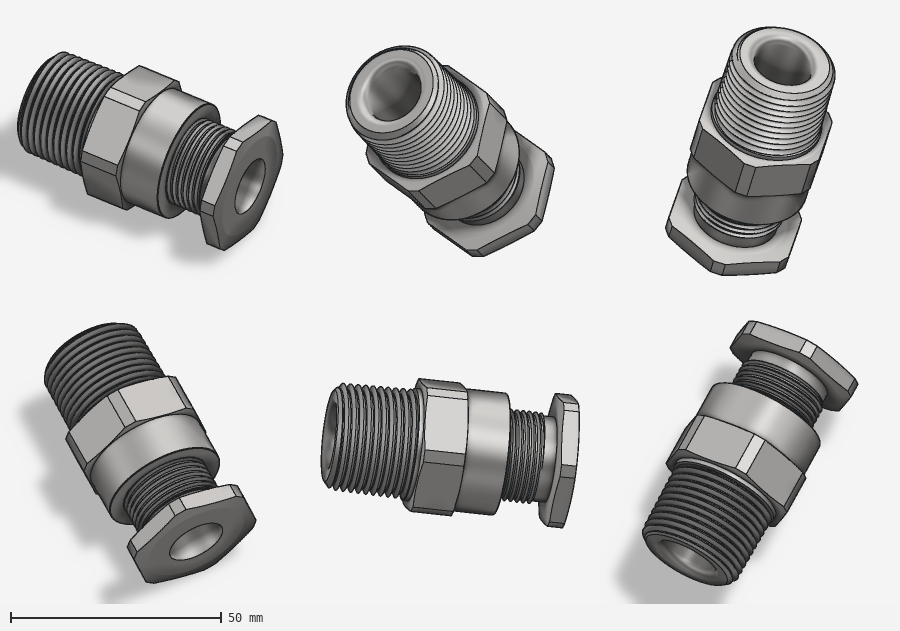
import cadquery as cq
import math

TOTAL_LENGTH = 57.9
BORE_DIAMETER = 14.05

ACROSS_FLATS = 30.0
ACROSS_CORNERS = 33.05
CORNER_RADIUS = ACROSS_CORNERS / 2
HEX_TURN = 16.5

ENTRY_LENGTH = 19.15
ENTRY_FACE_RADIUS = 10.95
ENTRY_ROOT_RADIUS = 11.45
ENTRY_CREST_RADIUS = 12.75
ENTRY_TAPER = 0.02
ENTRY_PITCH = 18.1 / 10
ENTRY_RIDGE_WIDTH = 1.5
ENTRY_FIRST_CREST = 1.3
ENTRY_LEAD_TURNS = 1
LEAD_CHAMFER_SLOPE = 1.15
MOUTH_RADIUS = 2.1
COLLAR_DIAMETER = 26.85
BODY_HEX_START = 20.25
BODY_HEX_END = 30.75
BODY_HEX_FACE_RADIUS = 14.9
BODY_HEX_BEVEL = 0.35
BARREL_DIAMETER = 29.25
BARREL_END = 41.05
BARREL_CHAMFER = 0.2

HEAD_START = 53.1
HEAD_FACE_RADIUS = 12.75
HEAD_BEVEL = 0.6
SHANK_DIAMETER = 20.45
NUT_CREST_DIAMETER = 21.9
NUT_PITCH = 15.0 / 10
NUT_RIDGE_WIDTH = 1.05
NUT_THREAD_END = 50.1
NUT_FIRST_CREST = 42.15
ENGAGED_PITCHES = 4
NUT_LEAD_TURNS = 2

ROOT_SINK = 0.1
TRIM_CLEARANCE = 0.6

socket_floor = BARREL_END - ENGAGED_PITCHES * NUT_PITCH


def revolve_profile(points):
    """Turn an outline of (x, radius) points about the X axis."""
    return cq.Workplane("XY").polyline(points).close().revolve(360, (0, 0, 0), (1, 0, 0))


def cylinder(start, end, diameter):
    return cq.Workplane("YZ", origin=(start, 0, 0)).circle(diameter / 2).extrude(end - start)


def ridge_turn(first_crest, pitch, root_radius, crest_radius, width, taper):
    """One right-handed turn of a V ridge, its crest starting on the +Y side at X = first_crest."""
    sunk_half_width = width / 2 * (1 + ROOT_SINK / (crest_radius - root_radius))

    def helix(offset, radius):
        if taper:
            wire = cq.Wire.makeHelix(pitch, pitch, radius, angle=math.degrees(math.atan(taper)))
        else:
            wire = cq.Wire.makeHelix(pitch, pitch, radius)
        return wire.rotate(cq.Vector(0, 0, 0), cq.Vector(0, 1, 0), 90).rotate(
            cq.Vector(0, 0, 0), cq.Vector(1, 0, 0), 90
        ).translate(cq.Vector(first_crest + offset, 0, 0))

    left = helix(-sunk_half_width, root_radius - ROOT_SINK)
    crest = helix(0, crest_radius)
    right = helix(sunk_half_width, root_radius - ROOT_SINK)
    sides = [
        cq.Face.makeRuledSurface(left, crest),
        cq.Face.makeRuledSurface(crest, right),
        cq.Face.makeRuledSurface(right, left),
    ]
    ends = [
        cq.Face.makeFromWires(
            cq.Wire.makePolygon([edge.positionAt(place) for edge in (left, crest, right)], close=True)
        )
        for place in (0, 1)
    ]
    shell = cq.Shell.makeShell([face for side in sides for face in side.Faces()] + ends)
    return cq.Solid.makeSolid(shell)


def add_thread(core, first_crest, turns, pitch, root_radius, crest_radius, width, taper=0):
    """Wind a V ridge around a core, turn by turn; a taper widens each turn in step with the helix."""
    ridges = []
    for turn in range(turns):
        advance = turn * pitch
        growth = taper * advance
        ridges.append(
            ridge_turn(
                first_crest + advance, pitch, root_radius + growth, crest_radius + growth, width, taper
            )
        )
    return cq.Workplane(core.val().fuse(*ridges))


def beveled_hex(start, end, face_radius, bevel):
    """Hexagon with flattened corners, both of its faces beveled by a cone."""
    half_corner = 30 - math.degrees(math.acos(ACROSS_FLATS / 2 / CORNER_RADIUS))
    corners = []
    for corner in range(6):
        for side in (-half_corner, half_corner):
            angle = math.radians(HEX_TURN + 60 * corner + side)
            corners.append((-CORNER_RADIUS * math.cos(angle), CORNER_RADIUS * math.sin(angle)))
    prism = cq.Workplane("YZ", origin=(start, 0, 0)).polyline(corners).close().extrude(end - start)
    bevels = revolve_profile([
        (start, 0),
        (start, face_radius),
        (start + bevel, CORNER_RADIUS),
        (end - bevel, CORNER_RADIUS),
        (end, face_radius),
        (end, 0),
    ])
    return prism.intersect(bevels)


def entry_thread():
    """Tapered entry thread, bounded by its lead chamfer and the collar."""
    first_crest = ENTRY_FIRST_CREST - ENTRY_LEAD_TURNS * ENTRY_PITCH
    growth = ENTRY_TAPER * first_crest
    turns = math.ceil((ENTRY_LENGTH - first_crest) / ENTRY_PITCH) + 1
    outer_radius = COLLAR_DIAMETER / 2
    chamfer_length = (outer_radius - ENTRY_FACE_RADIUS) / LEAD_CHAMFER_SLOPE
    limits = revolve_profile([
        (0, 0),
        (0, ENTRY_FACE_RADIUS),
        (chamfer_length, outer_radius),
        (ENTRY_LENGTH, outer_radius),
        (ENTRY_LENGTH, 0),
    ])
    core = revolve_profile([
        (0, 0),
        (0, ENTRY_ROOT_RADIUS),
        (ENTRY_LENGTH, ENTRY_ROOT_RADIUS + ENTRY_TAPER * ENTRY_LENGTH),
        (ENTRY_LENGTH, 0),
    ])
    threaded_core = add_thread(
        core, first_crest, turns, ENTRY_PITCH, ENTRY_ROOT_RADIUS + growth, ENTRY_CREST_RADIUS + growth,
        ENTRY_RIDGE_WIDTH, ENTRY_TAPER,
    )
    return threaded_core.intersect(limits)


def make_housing():
    """Threaded entry, collar, hexagon and barrel, bored through and socketed for the gland nut."""
    barrel = cylinder(BODY_HEX_END, BARREL_END, BARREL_DIAMETER).faces(">X").edges().chamfer(BARREL_CHAMFER)
    housing = (
        entry_thread()
        .union(cylinder(ENTRY_LENGTH, BODY_HEX_START, COLLAR_DIAMETER))
        .union(beveled_hex(BODY_HEX_START, BODY_HEX_END, BODY_HEX_FACE_RADIUS, BODY_HEX_BEVEL))
        .union(barrel)
    )
    bore_radius = BORE_DIAMETER / 2
    mouth_center = (MOUTH_RADIUS, bore_radius + MOUTH_RADIUS)
    arc_middle = (
        mouth_center[0] - MOUTH_RADIUS * math.sqrt(0.5),
        mouth_center[1] - MOUTH_RADIUS * math.sqrt(0.5),
    )
    rounded_bore = (
        cq.Workplane("XY")
        .lineTo(0, mouth_center[1])
        .threePointArc(arc_middle, (MOUTH_RADIUS, bore_radius))
        .lineTo(socket_floor, bore_radius)
        .lineTo(socket_floor, 0)
        .close()
        .revolve(360, (0, 0, 0), (1, 0, 0))
    )
    socket = cylinder(socket_floor, BARREL_END, NUT_CREST_DIAMETER)
    return housing.cut(rounded_bore).cut(socket)


def make_gland_nut():
    """Hex-headed hollow nut whose threaded shank fills the housing socket out to its crests."""
    first_crest = NUT_FIRST_CREST - (ENGAGED_PITCHES + NUT_LEAD_TURNS) * NUT_PITCH
    turns = math.ceil((NUT_THREAD_END - first_crest) / NUT_PITCH) + 1
    core = cylinder(socket_floor, NUT_THREAD_END, SHANK_DIAMETER)
    threaded_core = add_thread(
        core, first_crest, turns, NUT_PITCH, SHANK_DIAMETER / 2, NUT_CREST_DIAMETER / 2, NUT_RIDGE_WIDTH
    )
    thread_limits = cylinder(socket_floor, NUT_THREAD_END, NUT_CREST_DIAMETER + TRIM_CLEARANCE)
    neck = cylinder(NUT_THREAD_END, HEAD_START, SHANK_DIAMETER)
    head = beveled_hex(HEAD_START, TOTAL_LENGTH, HEAD_FACE_RADIUS, HEAD_BEVEL)
    bore = cylinder(socket_floor, TOTAL_LENGTH, BORE_DIAMETER)
    return threaded_core.intersect(thread_limits).union(neck).union(head).cut(bore)


housing = make_housing()
gland_nut = make_gland_nut()
result = cq.Compound.makeCompound([housing.val(), gland_nut.val()])